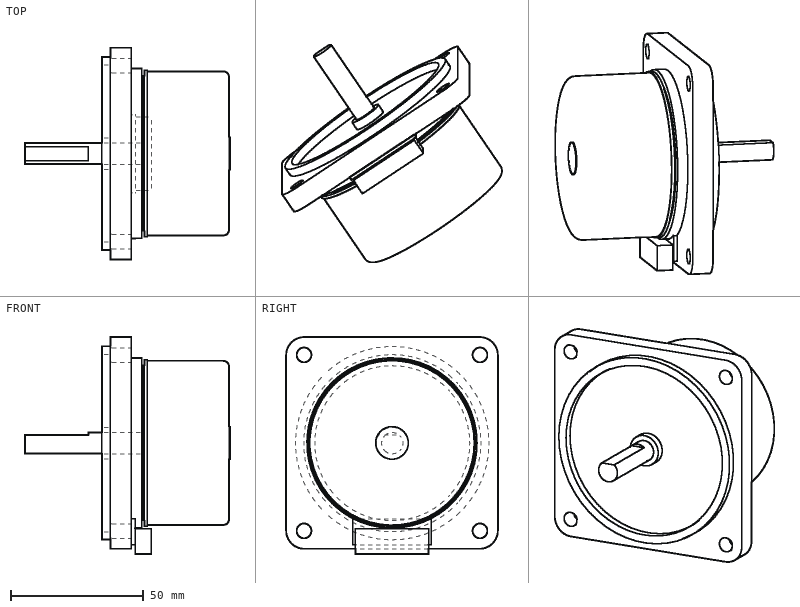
import cadquery as cq


PLATE_SIDE = 80.0
PLATE_THICKNESS = 7.95
PLATE_CORNER_RADIUS = 7.0
MOUNT_HOLE_SPACING = 66.4
MOUNT_HOLE_DIAMETER = 5.5
PILOT_DIAMETER = 73.1
PILOT_HEIGHT = 3.2
RECESS_DIAMETER = 66.9
RECESS_DEPTH = PILOT_HEIGHT
HUB_DIAMETER = 12.0
COLLAR_DIAMETER = 64.2
COLLAR_LENGTH = 3.9
NECK_DIAMETER = 58.55
FLANGE_NECK_LENGTH = 0.4

CAN_NECK_LENGTH = 0.6
RIM_DIAMETER = 63.0
RIM_LENGTH = 1.15
CAN_DIAMETER = 62.1
CAN_LENGTH = 30.8
CAN_EDGE_RADIUS = 2.3
REAR_BOSS_DIAMETER = 12.3
REAR_BOSS_HEIGHT = 0.3

SHAFT_DIAMETER = 8.0
SHAFT_PROJECTION = 29.0
FLAT_LENGTH = 23.95
FLAT_DEPTH = 1.0

TAB_WIDTH = 29.5
TAB_THICKNESS = 1.4
TAB_TOP = -28.6
TAB_BOTTOM = -38.45
BLOCK_LENGTH = 6.15
BLOCK_WIDTH = 27.7
BLOCK_TOP = -32.3
BLOCK_BOTTOM = -42.0

PILOT_FRONT = -PILOT_HEIGHT
PLATE_BACK = PLATE_THICKNESS
COLLAR_BACK = PLATE_BACK + COLLAR_LENGTH
FLANGE_BACK = COLLAR_BACK + FLANGE_NECK_LENGTH
RIM_FRONT = FLANGE_BACK + CAN_NECK_LENGTH
RIM_BACK = RIM_FRONT + RIM_LENGTH
CAN_BACK = RIM_BACK + CAN_LENGTH
SHAFT_FRONT = PILOT_FRONT - SHAFT_PROJECTION


def cylinder_x(diameter, x_start, x_end):
    """Cylinder on the motor axis between two X stations."""
    return cq.Workplane("YZ", origin=(x_start, 0, 0)).circle(diameter / 2).extrude(x_end - x_start)


def box_x(x_start, length, width, z_bottom, z_top):
    """Box centred on Y = 0, starting at an X station."""
    height = z_top - z_bottom
    corner = cq.Vector(x_start, -width / 2, z_bottom)
    return cq.Workplane(cq.Solid.makeBox(length, width, height, corner))


def make_flange():
    plate = cq.Workplane("YZ").rect(PLATE_SIDE, PLATE_SIDE).extrude(PLATE_THICKNESS)
    plate = plate.edges("|X").fillet(PLATE_CORNER_RADIUS)
    mount_holes = (
        cq.Workplane("YZ")
        .rect(MOUNT_HOLE_SPACING, MOUNT_HOLE_SPACING, forConstruction=True)
        .vertices()
        .circle(MOUNT_HOLE_DIAMETER / 2)
        .extrude(PLATE_THICKNESS)
    )
    recess_floor = PILOT_FRONT + RECESS_DEPTH
    flange = plate.cut(mount_holes)
    flange = flange.union(cylinder_x(PILOT_DIAMETER, PILOT_FRONT, 0))
    flange = flange.cut(cylinder_x(RECESS_DIAMETER, PILOT_FRONT, recess_floor))
    flange = flange.union(cylinder_x(HUB_DIAMETER, PILOT_FRONT, recess_floor))
    flange = flange.union(cylinder_x(COLLAR_DIAMETER, PLATE_BACK, COLLAR_BACK))
    flange = flange.union(cylinder_x(NECK_DIAMETER, COLLAR_BACK, FLANGE_BACK))

    tab_slot = box_x(PLATE_BACK, TAB_THICKNESS, COLLAR_DIAMETER, TAB_BOTTOM, TAB_TOP)
    shaft_bore = cylinder_x(SHAFT_DIAMETER, PILOT_FRONT, FLANGE_BACK)
    return flange.cut(tab_slot).cut(shaft_bore)


def make_can():
    can = cylinder_x(CAN_DIAMETER, RIM_BACK, CAN_BACK).faces(">X").edges().fillet(CAN_EDGE_RADIUS)
    can = can.union(cylinder_x(RIM_DIAMETER, RIM_FRONT, RIM_BACK))
    can = can.union(cylinder_x(NECK_DIAMETER, FLANGE_BACK, RIM_FRONT))
    return can.union(cylinder_x(REAR_BOSS_DIAMETER, CAN_BACK, CAN_BACK + REAR_BOSS_HEIGHT))


def make_shaft():
    shaft = cylinder_x(SHAFT_DIAMETER, SHAFT_FRONT, FLANGE_BACK)
    shaft_top = SHAFT_DIAMETER / 2
    flat_cut = box_x(SHAFT_FRONT, FLAT_LENGTH, SHAFT_DIAMETER, shaft_top - FLAT_DEPTH, shaft_top)
    return shaft.cut(flat_cut)


def make_connector():
    tab = box_x(PLATE_BACK, TAB_THICKNESS, TAB_WIDTH, TAB_BOTTOM, TAB_TOP)
    block_front = PLATE_BACK + TAB_THICKNESS
    block = box_x(block_front, BLOCK_LENGTH, BLOCK_WIDTH, BLOCK_BOTTOM, BLOCK_TOP)
    return tab.union(block)


flange = make_flange()
can = make_can()
shaft = make_shaft()
connector = make_connector()

result = cq.Compound.makeCompound([flange.val(), can.val(), shaft.val(), connector.val()])